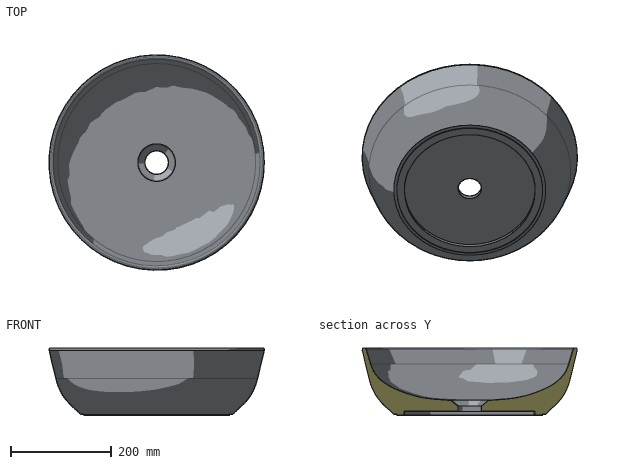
import cadquery as cq
import math

height = 135.0
outer_radius = 215.21

rim_edge_height = 130.0
rim_crest_radius = 211.5
wall_start_radius = 201.8
wall_start_height = 74.0
flank_mid = (181.2, 30.5)
base_radius = 151.8
base_height = 2.0
base_slope = math.radians(45.0)

foot_radius = 145.5
foot_width = 15.0
recess_depth = 8.0

rim_inner_radius = 206.5
rim_inner_height = 131.5
bowl_top_radius = 197.8
bowl_top_height = 102.5
bowl_points = [(164.0, 61.0), (105.0, 38.0)]
floor_slope = math.radians(4.0)

drain_edge_radius = 37.6
drain_edge_height = 30.2
drain_edge_width = 1.6
drain_edge_drop = 1.0
drain_radius = 23.3
drain_seat_height = 18.6


def direction(start, end):
    """Vector from one (radius, height) point to another."""
    return (end[0] - start[0], end[1] - start[1])


def unit(vector):
    """Vector scaled to length one."""
    length = math.hypot(vector[0], vector[1])
    return (vector[0] / length, vector[1] / length)


def add_outside(profile):
    """Continue the half section from the foot up the outer wall to the rim crest."""
    rim_edge = (outer_radius, rim_edge_height)
    wall_start = (wall_start_radius, wall_start_height)
    return (
        profile.lineTo(foot_radius, base_height)
        .lineTo(base_radius, base_height)
        .spline(
            [flank_mid, wall_start],
            tangents=[(math.cos(base_slope), math.sin(base_slope)), unit(direction(wall_start, rim_edge))],
            includeCurrent=True,
        )
        .lineTo(*rim_edge)
        .spline([(rim_crest_radius, height)], tangents=[(0, 1), (-1, 0)], includeCurrent=True)
    )


def add_bowl(profile):
    """Continue from the rim crest down the bowl to the drain edge."""
    rim_inner = (rim_inner_radius, rim_inner_height)
    bowl_top = (bowl_top_radius, bowl_top_height)
    drain_edge = (drain_edge_radius, drain_edge_height)
    wall_direction = unit(direction(rim_inner, bowl_top))
    floor_direction = (-math.cos(floor_slope), -math.sin(floor_slope))
    return (
        profile.spline([rim_inner], tangents=[(-1, 0), wall_direction], includeCurrent=True)
        .lineTo(*bowl_top)
        .spline(
            bowl_points + [drain_edge],
            tangents=[wall_direction, floor_direction],
            includeCurrent=True,
        )
    )


def add_drain(profile):
    """Continue down the drain edge, seat and hole to the recess under the base."""
    return (
        profile.lineTo(drain_edge_radius - drain_edge_width, drain_edge_height - drain_edge_drop)
        .lineTo(drain_radius, drain_seat_height)
        .lineTo(drain_radius, recess_depth)
    )


def make_basin():
    """Revolve the closed half section about the vertical axis."""
    foot_inner_radius = foot_radius - foot_width
    profile = cq.Workplane("XZ").moveTo(foot_inner_radius, 0).lineTo(foot_radius, 0)
    profile = add_drain(add_bowl(add_outside(profile)))
    profile = profile.lineTo(foot_inner_radius, recess_depth).close()
    return profile.revolve(360, (0, 0, 0), (0, 1, 0))


result = make_basin()